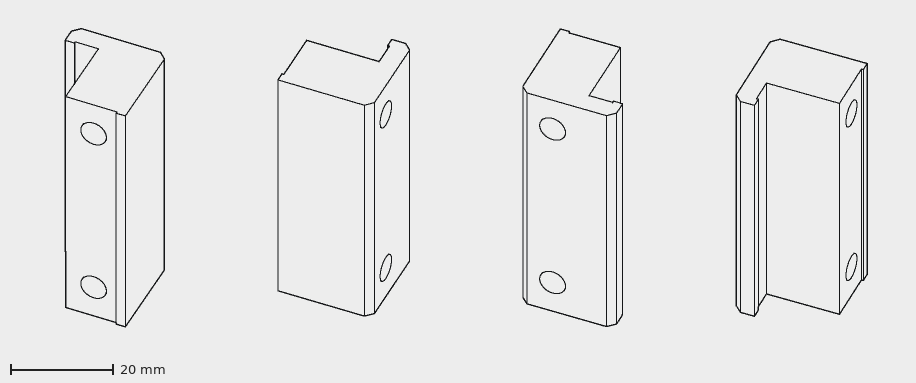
import cadquery as cq

width = 20.0
depth = 20.0
height = 55.0

body_width = 13.0
lip_thickness = 4.5
back_chamfer = 1.5

pad_width = 2.0
relief_depth = 0.4

hole_diameter = 5.5
hole_spacing = 40.0
hole_x = 13.0

body_left = width - body_width
lip_front = depth - lip_thickness


def make_profile_bar():
    """Extrude the L-shaped section along Z."""
    section = [
        (0, lip_front),
        (pad_width, lip_front),
        (pad_width, lip_front + relief_depth),
        (body_left, lip_front + relief_depth),
        (body_left, relief_depth),
        (width - pad_width, relief_depth),
        (width - pad_width, 0),
        (width, 0),
        (width, depth - back_chamfer),
        (width - back_chamfer, depth),
        (back_chamfer, depth),
        (0, depth - back_chamfer),
    ]
    return cq.Workplane("XY").polyline(section).close().extrude(height)


def make_hole(hole_z):
    """Cylinder along Y that cuts through the full depth at the given height."""
    return (
        cq.Workplane("XZ")
        .center(hole_x, hole_z)
        .circle(hole_diameter / 2)
        .extrude(-depth)
    )


result = make_profile_bar()
for side in (-1, 1):
    result = result.cut(make_hole(height / 2 + side * hole_spacing / 2))